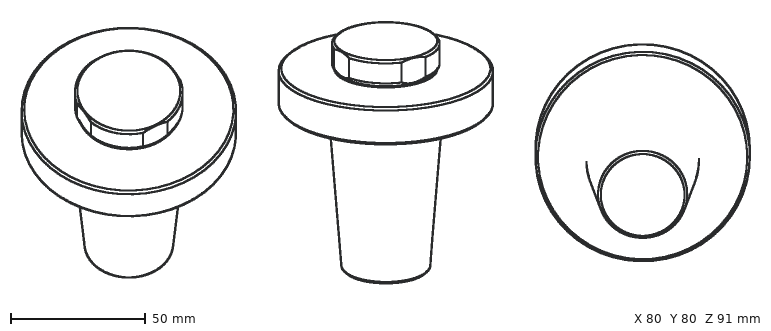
import cadquery as cq

flange_diameter = 80.0
flange_thickness = 15.0
flange_chamfer = 1.0
shank_diameter = 42.0
shank_fillet = 3.0
straight_length = 4.7
tip_diameter = 33.25
tip_chamfer = 1.0
total_height = 91.0

head_height = 11.0
head_diameter = 40.2
head_across_flats = 38.8
head_top_diameter = 38.4
head_top_chamfer_height = 1.0
head_bottom_chamfer_height = 1.5
neck_diameter = 38.4
neck_height = 0.5

flange_top = total_height - head_height
flange_bottom = flange_top - flange_thickness
straight_top = flange_bottom - shank_fillet
straight_bottom = straight_top - straight_length
flange_radius = flange_diameter / 2
shank_radius = shank_diameter / 2
tip_radius = tip_diameter / 2
head_radius = head_diameter / 2
head_top_radius = head_top_diameter / 2
neck_radius = neck_diameter / 2


def revolve_profile(profile):
    """Turn a closed half profile, drawn as radius against height, about the Z axis."""
    return profile.close().revolve(360, (0, 0, 0), (0, 1, 0))


def make_flanged_shank():
    """Tapered shank that runs through a straight band and a fillet into the flange."""
    profile = (
        cq.Workplane("XZ")
        .lineTo(tip_radius - tip_chamfer, 0)
        .lineTo(tip_radius, tip_chamfer)
        .lineTo(shank_radius, straight_bottom)
        .lineTo(shank_radius, straight_top)
        .radiusArc((shank_radius + shank_fillet, flange_bottom), shank_fillet)
        .lineTo(flange_radius - flange_chamfer, flange_bottom)
        .lineTo(flange_radius, flange_bottom + flange_chamfer)
        .lineTo(flange_radius, flange_top - flange_chamfer)
        .lineTo(flange_radius - flange_chamfer, flange_top)
        .lineTo(0, flange_top)
    )
    return revolve_profile(profile)


def make_head():
    """Round head, bevelled at both ends above a thin neck, with four side flats."""
    neck_top = flange_top + neck_height
    profile = (
        cq.Workplane("XZ")
        .moveTo(0, flange_top)
        .lineTo(neck_radius, flange_top)
        .lineTo(neck_radius, neck_top)
        .lineTo(head_radius, neck_top + head_bottom_chamfer_height)
        .lineTo(head_radius, total_height - head_top_chamfer_height)
        .lineTo(head_top_radius, total_height)
        .lineTo(0, total_height)
    )
    flats = (
        cq.Workplane("XY", origin=(0, 0, flange_top))
        .rect(head_across_flats, head_across_flats)
        .extrude(head_height)
    )
    return revolve_profile(profile).intersect(flats)


flanged_shank = make_flanged_shank()
head = make_head()

result = cq.Compound.makeCompound([flanged_shank.val(), head.val()])